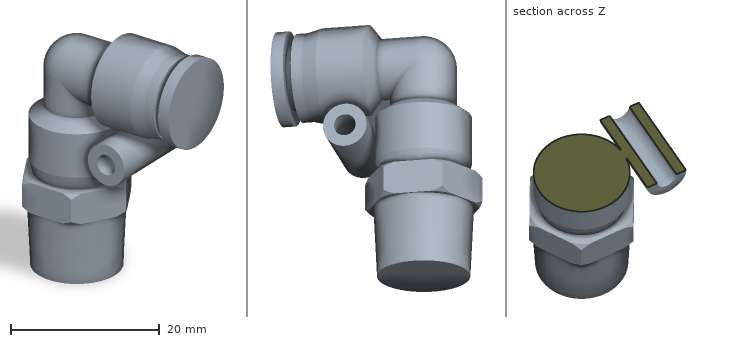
import cadquery as cq
import math

total_height = 36.0
thread_tip_diameter = 12.55
thread_top_diameter = 13.5
hex_bottom = 9.55
hex_thickness = 4.55
hex_top = hex_bottom + hex_thickness
hex_across_flats = 14.0
hex_across_corners = hex_across_flats / math.cos(math.radians(30))
hex_chamfer = 0.6

socket_diameter = 13.0
socket_end_diameter = 12.0
neck_diameter = 9.0
shoulder_start = 5.5
shoulder_end = 7.0
taper_start = 13.45
taper_end = 15.48
socket_end = 17.0
elbow_height = total_height - socket_diameter / 2

ring_stem_diameter = 8.8
ring_diameter = 12.8
ring_start = 17.95
ring_end = 19.7

eye_diameter = 6.0
eye_hole_diameter = 3.0
eye_length = 13.0
eye_x = 9.45
eye_z = elbow_height - eye_x
web_thickness = 2.0


def make_arm(end):
    """Socket arm along +Z from the elbow centre, closed at the given distance."""
    neck_radius = neck_diameter / 2
    socket_radius = socket_diameter / 2
    end_radius = socket_end_diameter / 2
    return (
        cq.Workplane("XZ")
        .lineTo(neck_radius, 0)
        .lineTo(neck_radius, shoulder_start)
        .lineTo(socket_radius, shoulder_end)
        .lineTo(socket_radius, taper_start)
        .lineTo(end_radius, taper_end)
        .lineTo(end_radius, end)
        .lineTo(0, end)
        .close()
        .revolve(360, (0, 0), (0, 1))
    )


def make_hex():
    """Hexagonal collar with its corners trimmed by a cone at both ends."""
    prism = (
        cq.Workplane("XY").workplane(offset=hex_bottom)
        .polygon(6, hex_across_corners).extrude(hex_thickness)
    )
    trim = (
        cq.Workplane("XY").workplane(offset=hex_bottom)
        .circle(hex_across_corners / 2).extrude(hex_thickness)
        .edges().chamfer(hex_chamfer)
    )
    return prism.intersect(trim)


def make_thread():
    """Plain tapered body of the threaded end."""
    return (
        cq.Workplane("XY").circle(thread_tip_diameter / 2)
        .workplane(offset=hex_bottom).circle(thread_top_diameter / 2)
        .loft()
    )


def make_release_ring():
    stem = (
        cq.Workplane("YZ", origin=(socket_end, 0, elbow_height))
        .circle(ring_stem_diameter / 2).extrude(ring_start - socket_end)
    )
    flange = (
        cq.Workplane("YZ", origin=(ring_start, 0, elbow_height))
        .circle(ring_diameter / 2).extrude(ring_end - ring_start)
    )
    return stem.union(flange)


def make_eye():
    """Tube with a square web filling the inside corner of the elbow."""
    tube = (
        cq.Workplane("XZ", origin=(eye_x, 0, eye_z))
        .circle(eye_diameter / 2).extrude(eye_length / 2, both=True)
    )
    web = (
        cq.Workplane("XY")
        .box(eye_x, web_thickness, eye_x, centered=(False, True, False))
        .translate((0, 0, eye_z))
    )
    return tube.union(web)


def make_eye_hole():
    return (
        cq.Workplane("XZ", origin=(eye_x, 0, eye_z))
        .circle(eye_hole_diameter / 2).extrude(eye_length / 2, both=True)
    )


elbow_centre = (0, 0, elbow_height)
horizontal_arm = make_arm(socket_end).rotate((0, 0, 0), (0, 1, 0), 90).translate(elbow_centre)
vertical_arm = make_arm(elbow_height - hex_top).rotate((0, 0, 0), (1, 0, 0), 180).translate(elbow_centre)
elbow_ball = cq.Workplane("XY").sphere(neck_diameter / 2).translate(elbow_centre)

result = (
    vertical_arm
    .union(horizontal_arm)
    .union(elbow_ball)
    .union(make_release_ring())
    .union(make_hex())
    .union(make_thread())
    .union(make_eye())
    .cut(make_eye_hole())
)